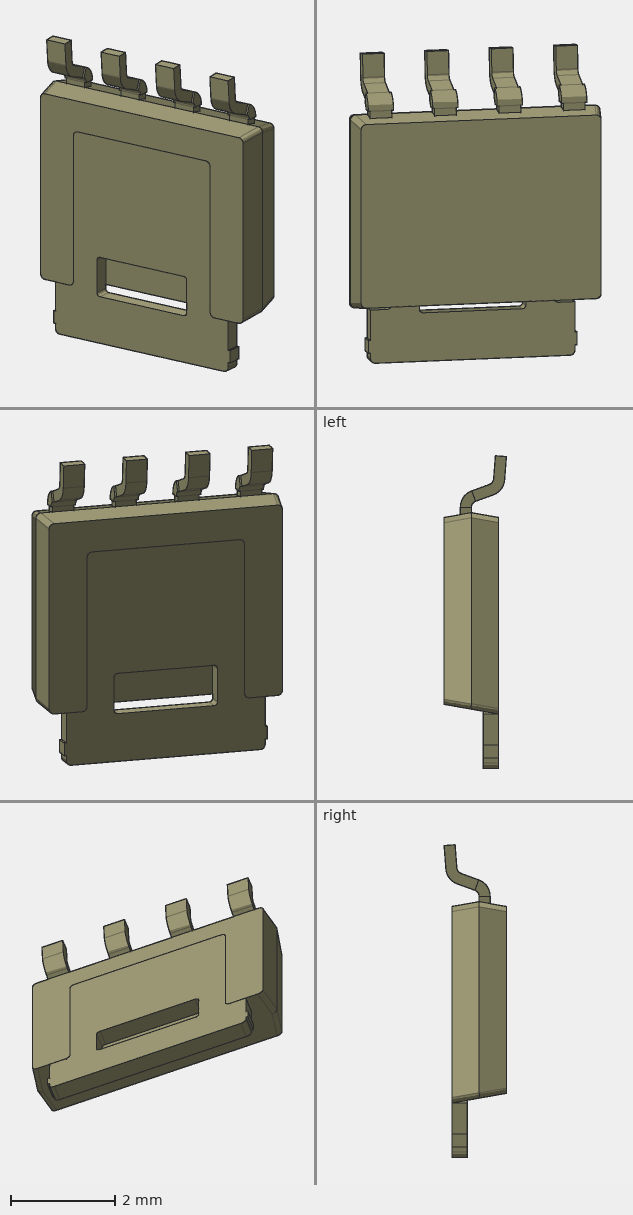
import cadquery as cq
import math

HOUSING_WIDTH = 4.9
HOUSING_DEPTH = 1.05
PARTING_Y = 0.52
HOUSING_TOP_Z = 4.91
HOUSING_FRONT_BOTTOM_Z = 1.045
DRAFT = math.tan(math.radians(10))
CORNER_RADIUS = 0.1

TAB_THICKNESS = 0.3
TAB_WIDTH = 4.02
NECK_WIDTH = 3.18
NECK_TOP_Z = 4.195
SHOULDER_Z = HOUSING_FRONT_BOTTOM_Z
NUB_WIDTH = 4.105
NUB_BOTTOM_Z = 0.2
NUB_TOP_Z = 0.45
WINDOW_WIDTH = 2.09
WINDOW_BOTTOM_Z = 0.95
WINDOW_TOP_Z = 1.745
WINDOW_RADIUS = 0.07

LEAD_COUNT = 4
LEAD_PITCH = 1.265
LEAD_WIDTH = 0.425
BEND_WIDTH = 0.5
LEAD_THICKNESS = 0.215
LEAD_BOTTOM_Z = 4.5
BEND_START_Z = 5.01
INNER_BEND_RADIUS = 0.12
ARM_ANGLE = 70
ARM_LENGTH = 0.36
FOOT_ANGLE = 4.4
LEAD_TOP_Z = 6.0


def housing_half(back):
    """Half of the housing, from the parting plane to its front or back face."""
    face_y = HOUSING_DEPTH if back else 0.0
    inset = abs(face_y - PARTING_Y) * DRAFT

    def section(y, side_inset):
        """Outline of the block at depth y, drawn in from the sides and top by side_inset."""
        half_width = HOUSING_WIDTH / 2 - side_inset
        bottom = HOUSING_FRONT_BOTTOM_Z + y * DRAFT
        top = HOUSING_TOP_Z - side_inset
        corners = [(-half_width, bottom), (half_width, bottom), (half_width, top), (-half_width, top)]
        return cq.Wire.makePolygon([cq.Vector(x, y, z) for x, z in corners], close=True)

    half = cq.Solid.makeLoft([section(PARTING_Y, 0), section(face_y, inset)], True)
    return cq.Workplane(obj=half)


def make_blank_housing():
    """The whole block with its four corners rounded from front to back."""
    block = housing_half(back=False).union(housing_half(back=True))
    corner_edges = block.edges("(not #Y) and (not |X) and (not |Z)")
    return corner_edges.fillet(CORNER_RADIUS)


def plate(width, bottom, top):
    """A flat plate of the tab's thickness, centred on X, with its front at Y = 0."""
    return (
        cq.Workplane("XY")
        .box(width, TAB_THICKNESS, top - bottom, centered=(True, False, False))
        .translate((0, 0, bottom))
    )


def make_tab_outline():
    """The tab without its window, which is also the recess it fills in the housing."""
    exposed_part = plate(TAB_WIDTH, 0, SHOULDER_Z).edges("|Y and <Z").fillet(CORNER_RADIUS)
    neck = plate(NECK_WIDTH, 0, NECK_TOP_Z).edges("|Y and >Z").fillet(CORNER_RADIUS)
    outline = exposed_part.union(neck)
    for side in (-1, 1):
        corner_middle = (side * NECK_WIDTH / 2, TAB_THICKNESS / 2, SHOULDER_Z)
        inner_corner = cq.selectors.NearestToPointSelector(corner_middle)
        outline = outline.edges(inner_corner).fillet(CORNER_RADIUS)
    return outline.union(plate(NUB_WIDTH, NUB_BOTTOM_Z, NUB_TOP_Z))


def make_window():
    """The rounded slot through the tab."""
    return plate(WINDOW_WIDTH, WINDOW_BOTTOM_Z, WINDOW_TOP_Z).edges("|Y").fillet(WINDOW_RADIUS)


def direction(angle):
    """Unit vector (Y, Z) pointing up and tilted forwards by the angle in degrees."""
    return -math.sin(math.radians(angle)), math.cos(math.radians(angle))


def moved(point, angle, distance):
    """The (Y, Z) point a distance away from another along the direction of an angle."""
    step_y, step_z = direction(angle)
    return point[0] + distance * step_y, point[1] + distance * step_z


def make_lead():
    """One bent lead centred on X = 0: a stem, a wide first bend, then an arm and a foot."""
    outer_radius = INNER_BEND_RADIUS + LEAD_THICKNESS
    quarter_turn = 90

    first_centre = (PARTING_Y - INNER_BEND_RADIUS, BEND_START_Z)

    def on_first(radius, angle):
        return moved(first_centre, angle - quarter_turn, radius)

    arm_start = on_first(INNER_BEND_RADIUS + outer_radius, ARM_ANGLE)
    second_centre = moved(arm_start, ARM_ANGLE, ARM_LENGTH)

    def on_second(radius, angle):
        return moved(second_centre, angle + quarter_turn, radius)

    stem = (
        cq.Workplane("XY")
        .box(LEAD_WIDTH, LEAD_THICKNESS, BEND_START_Z - LEAD_BOTTOM_Z, centered=(True, False, False))
        .translate((0, PARTING_Y, LEAD_BOTTOM_Z))
    )

    middle_angle = ARM_ANGLE / 2
    wide_bend = (
        cq.Workplane("YZ")
        .moveTo(*on_first(INNER_BEND_RADIUS, 0))
        .threePointArc(on_first(INNER_BEND_RADIUS, middle_angle), on_first(INNER_BEND_RADIUS, ARM_ANGLE))
        .lineTo(*on_first(outer_radius, ARM_ANGLE))
        .threePointArc(on_first(outer_radius, middle_angle), on_first(outer_radius, 0))
        .close()
        .extrude(BEND_WIDTH / 2, both=True)
    )

    middle_angle = (ARM_ANGLE + FOOT_ANGLE) / 2
    front_foot_start = on_second(outer_radius, FOOT_ANGLE)
    back_foot_start = on_second(INNER_BEND_RADIUS, FOOT_ANGLE)
    foot_length = (LEAD_TOP_Z - back_foot_start[1]) / direction(FOOT_ANGLE)[1]
    arm_and_foot = (
        cq.Workplane("YZ")
        .moveTo(*on_first(INNER_BEND_RADIUS, ARM_ANGLE))
        .lineTo(*on_second(outer_radius, ARM_ANGLE))
        .threePointArc(on_second(outer_radius, middle_angle), front_foot_start)
        .lineTo(*moved(front_foot_start, FOOT_ANGLE, foot_length))
        .lineTo(*moved(back_foot_start, FOOT_ANGLE, foot_length))
        .lineTo(*back_foot_start)
        .threePointArc(on_second(INNER_BEND_RADIUS, middle_angle), on_second(INNER_BEND_RADIUS, ARM_ANGLE))
        .lineTo(*on_first(outer_radius, ARM_ANGLE))
        .close()
        .extrude(LEAD_WIDTH / 2, both=True)
    )
    return stem.union(wide_bend).union(arm_and_foot)


def make_leads():
    """The row of leads, evenly spaced about X = 0."""
    lead = make_lead()
    first_x = -LEAD_PITCH * (LEAD_COUNT - 1) / 2
    return [lead.translate((first_x + i * LEAD_PITCH, 0, 0)) for i in range(LEAD_COUNT)]


tab_outline = make_tab_outline()
tab = tab_outline.cut(make_window())
leads = make_leads()

housing = make_blank_housing().cut(tab_outline)
for lead in leads:
    housing = housing.cut(lead)

result = cq.Compound.makeCompound([housing.val(), tab.val(), *[lead.val() for lead in leads]])